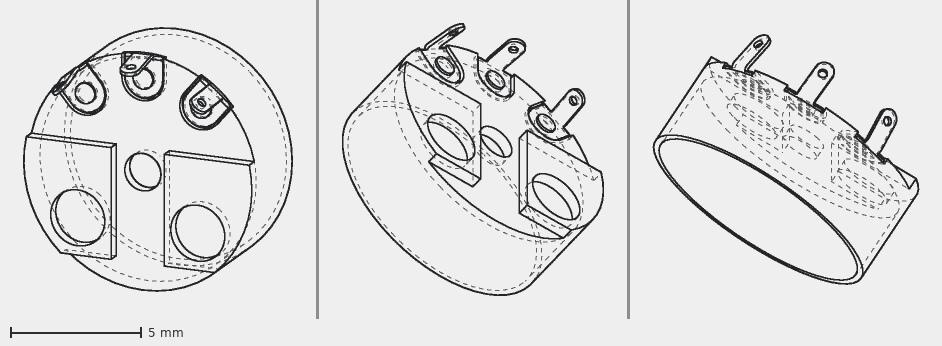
import cadquery as cq
import math

HOUSING_RADIUS = 4.75
HOUSING_DEPTH = 3.5
FRONT_WALL = 0.5
CAVITY_RADIUS = 4.5
BORE_RADIUS = 0.75

PAD_HEIGHT = 0.5
PAD_INNER_X = 1.11
PAD_TOP_Z = 1.0
PAD_BOTTOM_Z = -3.5
PAD_HOLE_RADIUS = 1.125
PAD_HOLE_X = 2.5
PAD_HOLE_Z = -2.0

TERMINAL_ANGLES = (-40, 0, 40)
TERMINAL_CENTRE_Z = 3.75
POCKET_RADIUS = 0.87
POCKET_DEPTH = 0.25
PLATE_CLEARANCE = 0.09
SHEET = 0.15
BEND_INNER_RADIUS = 0.15
SHOULDER_ANGLE = 48
TAB_TILT = 10
TAB_WIDTH = 0.76
TAB_TOP_Z = 4.76
TAB_REACH = 1.64
TAB_HOLE_RADIUS = 0.175
TAB_HOLE_FROM_END = 0.5

RIVET_RADIUS = 0.41
RIVET_RISE = 0.1

PLATE_RADIUS = POCKET_RADIUS - PLATE_CLEARANCE
BEND_OUTER_RADIUS = BEND_INNER_RADIUS + SHEET
BEND_Y = POCKET_DEPTH - BEND_OUTER_RADIUS
BEND_Z = TAB_TOP_Z - BEND_OUTER_RADIUS
TILT = math.radians(TAB_TILT)
BEND_END_Y = BEND_Y - BEND_OUTER_RADIUS * math.sin(TILT)
TAB_LENGTH = (TAB_REACH + BEND_END_Y) / math.cos(TILT)


def cylinder_along_y(radius, x, z, y_start, y_end):
    """Cylinder with its axis along +Y, from y_start to y_end."""
    base = cq.Workplane(cq.Plane((x, y_start, z), (1, 0, 0), (0, 1, 0)))
    return base.circle(radius).extrude(y_end - y_start)


def box_between(low, high):
    """Box between its lowest and its highest corner."""
    size = [b - a for a, b in zip(low, high)]
    return cq.Workplane("XY").box(*size, centered=False).translate(low)


def around_bore(body, angle):
    """Turn a body about the bore axis, in degrees; positive turns its top toward +X."""
    return body.rotate((0, 0, 0), (0, 1, 0), angle)


def u_shape(radius, top_z, y_start, y_end):
    """Slab with a round lower end about the rivet centre and a straight upper end."""
    round_end = cylinder_along_y(radius, 0, TERMINAL_CENTRE_Z, y_start, y_end)
    straight = box_between((-radius, y_start, TERMINAL_CENTRE_Z), (radius, y_end, top_z))
    return round_end.union(straight)


def make_pads():
    """Two pads, flush with the round housing wall, each with a hole down to the front face."""
    disc = cylinder_along_y(HOUSING_RADIUS, 0, 0, -PAD_HEIGHT, 0)
    left = box_between((-HOUSING_RADIUS, -PAD_HEIGHT, PAD_BOTTOM_Z), (-PAD_INNER_X, 0, PAD_TOP_Z))
    pads = left.union(left.mirror("YZ")).intersect(disc)
    for x in (-PAD_HOLE_X, PAD_HOLE_X):
        pads = pads.cut(cylinder_along_y(PAD_HOLE_RADIUS, x, PAD_HOLE_Z, -PAD_HEIGHT, 0))
    return pads


def make_housing():
    """Round cup, open at the back, with the bore, pads and terminal pockets in its front wall."""
    body = cylinder_along_y(HOUSING_RADIUS, 0, 0, 0, HOUSING_DEPTH)
    body = body.cut(cylinder_along_y(CAVITY_RADIUS, 0, 0, FRONT_WALL, HOUSING_DEPTH))
    body = body.cut(cylinder_along_y(BORE_RADIUS, 0, 0, 0, FRONT_WALL))
    body = body.union(make_pads())
    pocket = u_shape(POCKET_RADIUS, HOUSING_RADIUS + POCKET_RADIUS, 0, POCKET_DEPTH)
    for angle in TERMINAL_ANGLES:
        body = body.cut(around_bore(pocket, angle))
    return body


def bend_point(radius, angle):
    """(y, z) on the bend, at an angle in degrees turned from the plate toward the tab."""
    turn = math.radians(angle)
    return BEND_Y + radius * math.cos(turn), BEND_Z + radius * math.sin(turn)


def make_bend(width, end_angle):
    """Curved strip that turns from the plate by end_angle."""
    profile = (
        cq.Workplane("YZ")
        .moveTo(*bend_point(BEND_OUTER_RADIUS, 0))
        .threePointArc(bend_point(BEND_OUTER_RADIUS, end_angle / 2), bend_point(BEND_OUTER_RADIUS, end_angle))
        .lineTo(*bend_point(BEND_INNER_RADIUS, end_angle))
        .threePointArc(bend_point(BEND_INNER_RADIUS, end_angle / 2), bend_point(BEND_INNER_RADIUS, 0))
        .close()
    )
    return profile.extrude(width / 2, both=True)


def make_tab():
    """Flat tongue with a round end and a wire hole, leaving the bend at the tilt angle."""
    end_radius = TAB_WIDTH / 2
    start_y, start_z = bend_point(BEND_OUTER_RADIUS, 90 + TAB_TILT)
    outer_face = cq.Plane((0, start_y, start_z), (1, 0, 0), (0, -math.sin(TILT), math.cos(TILT)))
    straight_end = end_radius - TAB_LENGTH
    return (
        cq.Workplane(outer_face)
        .moveTo(-end_radius, 0)
        .lineTo(-end_radius, straight_end)
        .threePointArc((0, -TAB_LENGTH), (end_radius, straight_end))
        .lineTo(end_radius, 0)
        .close()
        .moveTo(0, TAB_HOLE_FROM_END - TAB_LENGTH)
        .circle(TAB_HOLE_RADIUS)
        .extrude(-SHEET)
    )


def make_terminal():
    """Sheet-metal terminal at the top of the housing, before it is turned into place."""
    plate = u_shape(PLATE_RADIUS, BEND_Z, POCKET_DEPTH - SHEET, POCKET_DEPTH)
    plate = plate.cut(make_rivet())
    shoulders = make_bend(2 * PLATE_RADIUS, SHOULDER_ANGLE)
    neck = make_bend(TAB_WIDTH, 90 + TAB_TILT)
    return plate.union(shoulders).union(neck).union(make_tab())


def make_rivet():
    """Round rivet standing on the pocket floor, through the terminal plate."""
    head_y = POCKET_DEPTH - SHEET - RIVET_RISE
    return cylinder_along_y(RIVET_RADIUS, 0, TERMINAL_CENTRE_Z, head_y, POCKET_DEPTH)


housing = make_housing()
terminals = [around_bore(make_terminal(), angle).val() for angle in TERMINAL_ANGLES]
rivets = [around_bore(make_rivet(), angle).val() for angle in TERMINAL_ANGLES]

result = cq.Compound.makeCompound([housing.val(), *terminals, *rivets])